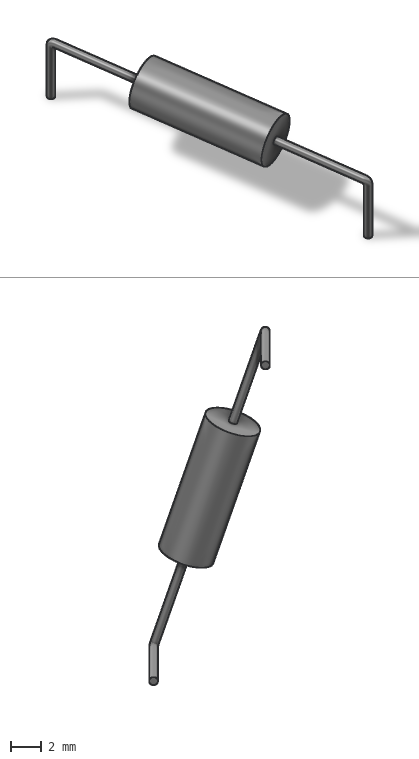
import cadquery as cq

span = 24.6
height = 7.6
body_diameter = 3.8
body_length = 10.0
wire_diameter = 0.6
inside_bend_radius = 0.005

wire_radius = wire_diameter / 2
bend_radius = wire_radius + inside_bend_radius
body_end_x = body_length / 2
leg_x = span / 2 - wire_radius
tip_z = body_diameter / 2 - height


def make_body():
    """Plain cylindrical body along X."""
    return cq.Workplane("YZ", origin=(-body_end_x, 0, 0)).circle(body_diameter / 2).extrude(body_length)


def make_lead(side):
    """Round wire from a body end face, bent down 90 degrees; side is -1 or +1 along X."""
    centreline = (
        cq.Workplane("XZ")
        .moveTo(side * body_end_x, 0)
        .lineTo(side * (leg_x - bend_radius), 0)
        .tangentArcPoint((side * leg_x, -bend_radius), relative=False)
        .lineTo(side * leg_x, tip_z)
    )
    section = cq.Workplane("YZ", origin=(side * body_end_x, 0, 0)).circle(wire_radius)
    return section.sweep(centreline)


body = make_body()
leads = [make_lead(side) for side in (-1, 1)]

result = cq.Compound.makeCompound([body.val(), *[lead.val() for lead in leads]])